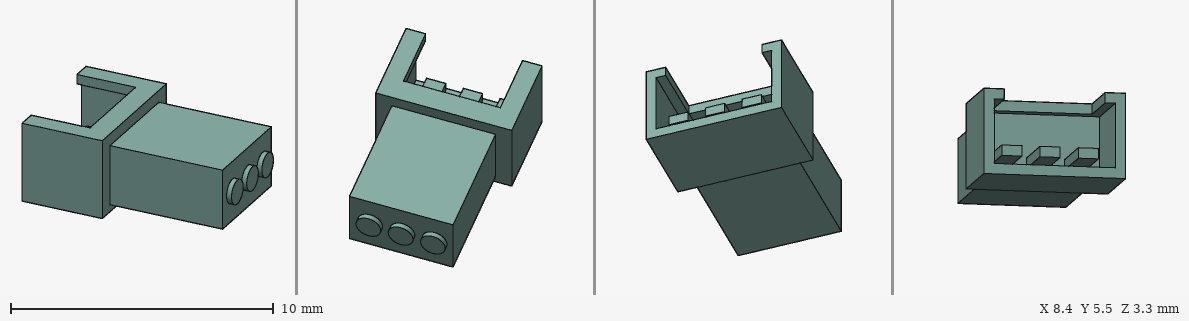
import cadquery as cq

total_length = 8.4
wall = 0.4

head_length = 3.41
head_width = 5.5
head_height = 3.3
cavity_depth = 3.0
slot_depth = 2.495
cavity_width = head_width - 2 * wall
cavity_height = head_height - 2 * wall
slot_width = 3.915

wire_stub = 0.21
rear_end = total_length - wire_stub
rear_width = 4.19
rear_bottom = 0.3
rear_height = 2.5

position_count = 3
contact_width = 0.78
contact_height = 0.4
contact_bottom = 0.8
contact_start = 0.4
contact_pitch = 1.49
contact_offset = 0.1
wire_diameter = 1.0
wire_pitch = 1.3
wire_offset = 0.05


def box(x_start, x_end, y_center, width, z_bottom, height):
    """Box between two X positions, centred on y_center and standing on z_bottom."""
    return (
        cq.Workplane("XY")
        .box(x_end - x_start, width, height, centered=(False, True, False))
        .translate((x_start, y_center, z_bottom))
    )


def row_positions(pitch, offset):
    """Y positions of an evenly spaced row whose middle lies at offset."""
    middle = (position_count - 1) / 2
    return [offset + (index - middle) * pitch for index in range(position_count)]


def make_housing():
    """Open head with a slotted roof, joined to the solid rear block."""
    head = box(0, head_length, 0, head_width, 0, head_height)
    rear_block = box(head_length, rear_end, 0, rear_width, rear_bottom, rear_height)
    cavity = box(0, cavity_depth, 0, cavity_width, wall, cavity_height)
    roof_slot = box(0, slot_depth, 0, slot_width, head_height - wall, wall)
    return head.union(rear_block).cut(cavity).cut(roof_slot)


def make_contact(y_center):
    """Flat contact blade standing out from the back wall of the cavity."""
    return box(contact_start, cavity_depth, y_center, contact_width, contact_bottom, contact_height)


def make_wire(y_center):
    """Round wire stub on the end face of the rear block."""
    z_center = rear_bottom + rear_height / 2
    return (
        cq.Workplane("YZ", origin=(rear_end, y_center, z_center))
        .circle(wire_diameter / 2)
        .extrude(wire_stub)
    )


housing = make_housing()
contacts = [make_contact(y).val() for y in row_positions(contact_pitch, contact_offset)]
wires = [make_wire(y).val() for y in row_positions(wire_pitch, wire_offset)]

result = cq.Compound.makeCompound([housing.val(), *contacts, *wires])